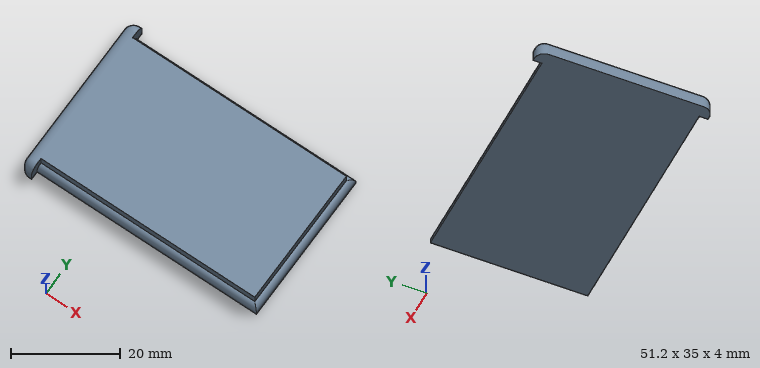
import cadquery as cq

length = 51.25
head_width = 35.0
height = 4.0

head_thickness = 2.5
head_radius = height / 2

plate_width = 31.5
lip_radius = 1.25
lip_height = 1.95


def block(x_start, x_end, width, block_height):
    """Box standing on Z = 0 and centred on Y = 0."""
    size_x = x_end - x_start
    box = cq.Workplane("XY").box(size_x, width, block_height, centered=(False, True, False))
    return box.translate((x_start, 0, 0))


def make_head():
    """Bar with ball-shaped outer corners and a flat inner face."""
    bar = block(0, head_thickness, head_width, height)
    bar = bar.edges("|Z and <X").fillet(head_radius)
    return bar.faces(">Z").edges("not >X").fillet(head_radius)


def make_lip():
    """Lower layer, rounded along its sides and far end with mitred corners."""
    layer = block(0, length, plate_width, lip_height)
    layer = layer.faces(">Z").edges("not <X").fillet(lip_radius)
    return layer.intersect(block(head_radius, length, plate_width, lip_height))


def make_raised_plate():
    """Upper layer, set in from the lip and flush with the top of the head."""
    return block(head_radius, length - lip_radius, plate_width - 2 * lip_radius, height)


result = make_head().union(make_lip()).union(make_raised_plate())